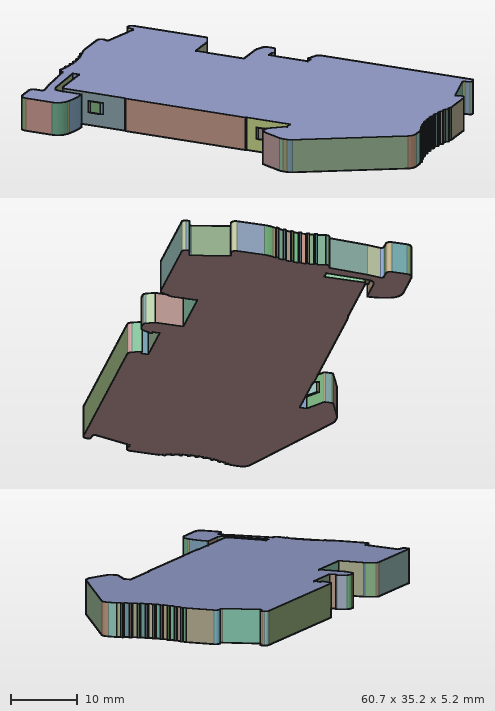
import cadquery as cq
import math

LENGTH = 60.7
HEIGHT = 35.25
THICKNESS = 5.2

LEFT_SIDE = 0.25
MIRROR_SUM = LEFT_SIDE + LENGTH
BASE_Y = 6.2
RAIL_FACE_Y = 6.1
RAIL_FACE_LEFT = 14.5
RAIL_FACE_RIGHT = 34.6
RAIL_FACE_RAMP = 0.2

LEG_TOP = 12.7
LEG_OUTER_TOP = 1.35
FOOT_TOP = 5.0
SLOT_RIGHT = 4.05

HOOK_INNER = (41.75, 5.1)
HOOK_TIP = (39.2, 3.05)

GRIP_RADIUS = 14.25
GRIP_Y = 17.3
LEFT_GRIP_BOTTOM = 1.15
RIGHT_GRIP_BOTTOM = 59.55
GRIP_EDGE_RADIUS = 4.25
TOOTH_PITCH = 1.2
TOOTH_TIP_WIDTH = 0.3
TOOTH_FLANK_SLOPE = 0.4
TOOTH_HEIGHT = 0.25
ROOT_DEPTH = 0.3
LEFT_GRIP_END = 13.4
TAB_LEFT = 0.6
TAB_CORNER_RADIUS = 0.55

PAD_Z = 2.05
PAD_WIDTH = 1.8
PAD_RISE = 0.15
PAD_BEVEL = 0.4
LEFT_PAD = (8.5, 10.9)
RIGHT_PAD = (36.2, 39.7)
HOOK_PAD_RISE = 0.25
HOOK_PAD_START = 1.0
HOOK_PAD_BEVEL = 0.3
PIN_LEFT = 5.6
PIN_SIZE = 1.7

FOOT_AND_LEG = [
    (0, 4.05, 0.7),
    (0, 0, 1.0),
    (6.8, 0, 2.1),
    (7.95, 3.15, 8.8),
    (7.95, FOOT_TOP, 0),
    (3.2, FOOT_TOP, 1.15),
    (3.0, LEG_TOP, 0),
    (SLOT_RIGHT, LEG_TOP, 0),
    (SLOT_RIGHT, BASE_Y, 0.5),
]
RAIL_SIDE = [
    (RAIL_FACE_LEFT, BASE_Y, 0),
    (RAIL_FACE_LEFT + RAIL_FACE_RAMP, RAIL_FACE_Y, 0),
    (RAIL_FACE_RIGHT - RAIL_FACE_RAMP, RAIL_FACE_Y, 0),
    (RAIL_FACE_RIGHT, BASE_Y, 0),
]
HOOK = [
    (HOOK_INNER[0], BASE_Y, 0),
    (*HOOK_INNER, 0),
    (*HOOK_TIP, 0.3),
    (HOOK_TIP[0], 1.7, 0.35),
    (43.05, 0, 1.6),
    (44.5, 0, 1.6),
    (LENGTH, 9.35, 1.6),
]
LEFT_END = [
    (LEFT_SIDE, 28.6, 0.7),
    (1.8, 27.7, 0.3),
    (3.4, 33.95, 0.3),
    (2.0, 34.1, 0.3),
    (2.1, HEIGHT, 0.55),
]
RIGHT_END = [(MIRROR_SUM - x, y, radius) for x, y, radius in LEFT_END]
TOP_OPENINGS = [
    (33.1, HEIGHT, 0.8),
    (32.3, 33.25, 0),
    (32.85, 33.25, 0),
    (32.85, 32.2, 0),
    (26.4, 32.2, 0),
    (26.4, 33.25, 0),
    (26.9, 33.25, 0.1),
    (26.05, HEIGHT, 0.7),
    (24.35, HEIGHT, 0.6),
    (23.6, 33.6, 0),
    (23.6, 29.25, 0),
    (15.65, 29.25, 0),
    (15.65, 33.3, 0.6),
    (14.9, HEIGHT, 0.5),
]
LEG_OUTSIDE = [
    (LEFT_SIDE, LEFT_GRIP_END, 0),
    (LEG_OUTER_TOP, LEFT_GRIP_END, 0),
    (LEG_OUTER_TOP, LEG_TOP, 0),
    (1.75, 6.7, 0),
    (2.1, 4.05, 0.4),
]


def rounded_plate(corners):
    """Extrude a closed outline whose corners carry their own rounding radius."""
    stretches = []
    for i, (x, y, radius) in enumerate(corners):
        corner = cq.Vector(x, y)
        to_previous = (cq.Vector(*corners[i - 1][:2]) - corner).normalized()
        to_next = (cq.Vector(*corners[(i + 1) % len(corners)][:2]) - corner).normalized()
        if radius == 0:
            stretches.append([corner])
            continue
        half_angle = to_previous.getAngle(to_next) / 2
        setback = radius / math.tan(half_angle)
        bisector = (to_previous + to_next).normalized()
        middle = corner + bisector * (radius / math.sin(half_angle) - radius)
        stretches.append([corner + to_previous * setback, middle, corner + to_next * setback])

    outline = cq.Workplane("XY").moveTo(*stretches[0][-1].toTuple()[:2])
    for stretch in stretches[1:] + stretches[:1]:
        outline = outline.lineTo(*stretch[0].toTuple()[:2])
        if len(stretch) > 1:
            outline = outline.threePointArc(*[point.toTuple()[:2] for point in stretch[1:]])
    return outline.close().extrude(THICKNESS)


def block(x_min, x_max, y_min, y_max, z_min=0.0, z_max=THICKNESS):
    """Axis-aligned block between the given limits."""
    size = (x_max - x_min, y_max - y_min, z_max - z_min)
    return cq.Workplane("XY").box(*size, centered=False).translate((x_min, y_min, z_min))


def grip_cutter(bottom_x, outward):
    """Cylinder that hollows one end; outward is -1 on the left, +1 on the right."""
    center_x = bottom_x + outward * GRIP_RADIUS
    return cq.Workplane("XY").center(center_x, GRIP_Y).circle(GRIP_RADIUS).extrude(THICKNESS)


def grip_tooth(bottom_x, outward, step):
    """Tooth on the grip arc, the given number of pitches above the grip middle."""
    rise = step * TOOTH_PITCH
    sag = GRIP_RADIUS - math.sqrt(GRIP_RADIUS**2 - rise**2)
    surface_x = bottom_x + outward * sag
    root_x = surface_x - outward * ROOT_DEPTH
    tip_x = surface_x + outward * TOOTH_HEIGHT
    tip_half = TOOTH_TIP_WIDTH / 2
    root_half = tip_half + TOOTH_FLANK_SLOPE * (ROOT_DEPTH + TOOTH_HEIGHT)
    profile = [(root_x, -root_half), (tip_x, -tip_half), (tip_x, tip_half), (root_x, root_half)]
    tooth = cq.Workplane("XY").polyline(profile).close().extrude(THICKNESS)
    return tooth.translate((0, GRIP_Y + rise, 0))


def raised_pad(length, rise, bevel):
    """Pad along X that stands out by rise in Y, with both ends bevelled."""
    profile = [(0, 0), (bevel, rise), (length - bevel, rise), (length, 0)]
    pad = cq.Workplane("XY").polyline(profile).close().extrude(PAD_WIDTH)
    return pad.translate((0, 0, PAD_Z))


body = rounded_plate(
    FOOT_AND_LEG + RAIL_SIDE + HOOK + RIGHT_END + TOP_OPENINGS + LEFT_END[::-1] + LEG_OUTSIDE
)

body = body.cut(grip_cutter(LEFT_GRIP_BOTTOM, -1)).cut(grip_cutter(RIGHT_GRIP_BOTTOM, 1))
left_arc_offset = GRIP_RADIUS - (LEFT_GRIP_BOTTOM - LEFT_SIDE)
left_grip_top = GRIP_Y + math.sqrt(GRIP_RADIUS**2 - left_arc_offset**2)
left_grip_edge = cq.selectors.NearestToPointSelector((LEFT_SIDE, left_grip_top, THICKNESS / 2))
body = body.edges("|Z").edges(left_grip_edge).fillet(GRIP_EDGE_RADIUS)
for step in range(-2, 4):
    body = body.union(grip_tooth(LEFT_GRIP_BOTTOM, -1, step))
for step in range(-4, 5):
    body = body.union(grip_tooth(RIGHT_GRIP_BOTTOM, 1, step))

tab = block(TAB_LEFT, LEG_OUTER_TOP + ROOT_DEPTH, LEG_TOP, LEFT_GRIP_END)
body = body.union(tab.edges("|Z and <X and <Y").fillet(TAB_CORNER_RADIUS))

for pad_left, pad_right in (LEFT_PAD, RIGHT_PAD):
    pad = raised_pad(pad_right - pad_left, -PAD_RISE, PAD_BEVEL)
    body = body.union(pad.translate((pad_left, BASE_Y, 0)))

flank_run = HOOK_INNER[0] - HOOK_TIP[0]
flank_rise = HOOK_INNER[1] - HOOK_TIP[1]
flank_angle = math.degrees(math.atan2(flank_rise, flank_run))
hook_pad_length = math.hypot(flank_run, flank_rise) - HOOK_PAD_START
hook_pad = raised_pad(hook_pad_length, HOOK_PAD_RISE, HOOK_PAD_BEVEL)
hook_pad = hook_pad.translate((HOOK_PAD_START, 0, 0)).rotate((0, 0, 0), (0, 0, 1), flank_angle)
body = body.union(hook_pad.translate((*HOOK_TIP, 0)))

pin_z = (THICKNESS - PIN_SIZE) / 2
pin = block(PIN_LEFT, PIN_LEFT + PIN_SIZE, FOOT_TOP, BASE_Y, pin_z, pin_z + PIN_SIZE)
result = body.union(pin)